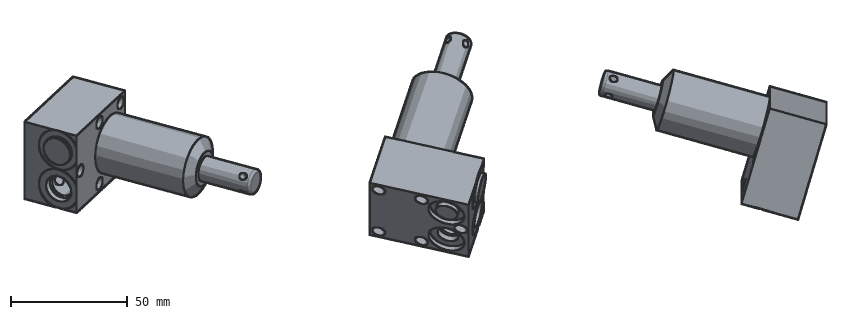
import cadquery as cq
import math

overall_length = 96.0
block_length = 25.2
block_width = 43.9
block_height = 38.1
axis_to_back = 13.5
back_y = axis_to_back
front_y = back_y - block_width

body_diameter = 26.9
body_end_x = 68.0
nose_end_x = 71.1
nose_diameter = 15.7
rod_diameter = 11.2
rod_end_fillet = 1.15

dimple_diameter = 3.1
dimple_x = 92.0
dimple_count = 4
first_dimple_angle = 45

mounting_hole_diameter = 5.7
mounting_half_pitch_y = 9.5
mounting_half_pitch_z = 15.1
front_mounting_y = front_y + 3.5

port_half_pitch = 9.6
port_overlap = 1.0

side_port_y = front_y + 9.8
side_counterbore_diameter = 15.9
side_counterbore_depth = 2.4
side_plug_diameter = 9.7
side_port_diameter = 9.1
side_port_inner_diameter = 8.4
side_port_depth = 2.7
side_bore_diameter = 7.4

front_port_x = 16.5
front_spotface_diameter = 19.0
front_spotface_depth = 0.2
front_plug_diameter = 12.9
front_plug_projection = 1.4
front_port_diameter = 12.3
front_port_inner_diameter = 11.4
front_port_depth = 3.0
front_bore_diameter = 10.0
front_bore_depth = 14.9


def cylinder(start, direction, diameter, length):
    """Cylinder growing from a start point along a direction."""
    return cq.Workplane(cq.Solid.makeCylinder(diameter / 2, length, cq.Vector(*start), cq.Vector(*direction)))


def stepped_bore(start, direction, mouth_diameter, inner_diameter, mouth_depth, bore_diameter, bore_depth):
    """Tapered mouth, 45 degree shoulder and narrower flat-bottomed bore."""
    mouth = mouth_diameter / 2
    inner = inner_diameter / 2
    bore = bore_diameter / 2
    profile_normal = cq.Vector(0, 0, 1).cross(cq.Vector(*direction))
    profile = (
        cq.Workplane(cq.Plane(start, xDir=(0, 0, 1), normal=profile_normal))
        .polyline([
            (0, 0),
            (mouth, 0),
            (inner, mouth_depth),
            (bore, mouth_depth + inner - bore),
            (bore, bore_depth),
            (0, bore_depth),
        ])
        .close()
    )
    return profile.revolve(360, (0, 0, 0), (0, 1, 0))


def make_block():
    """Rectangular valve block with its five mounting holes."""
    block = cq.Workplane("XY").box(block_length, block_width, block_height, centered=(False, False, True))
    block = block.translate((0, front_y, 0))
    hole_places = [(front_mounting_y, 0)]
    for side_y in (-1, 1):
        for side_z in (-1, 1):
            hole_places.append((side_y * mounting_half_pitch_y, side_z * mounting_half_pitch_z))
    for y, z in hole_places:
        block = block.cut(cylinder((0, y, z), (1, 0, 0), mounting_hole_diameter, block_length))
    return block


def make_body_and_rod():
    """Round body with a conical nose, and the rod with its ring of dimples."""
    body = (
        cq.Workplane("XY")
        .polyline([
            (block_length, 0),
            (block_length, body_diameter / 2),
            (body_end_x, body_diameter / 2),
            (nose_end_x, nose_diameter / 2),
            (nose_end_x, 0),
        ])
        .close()
        .revolve(360, (0, 0, 0), (1, 0, 0))
    )
    rod = cylinder((body_end_x, 0, 0), (1, 0, 0), rod_diameter, overall_length - body_end_x)
    rod = rod.faces(">X").edges().fillet(rod_end_fillet)
    cone_height = dimple_diameter
    surface_chord_height = math.sqrt((rod_diameter / 2) ** 2 - (dimple_diameter / 2) ** 2)
    cone_tip_height = surface_chord_height - dimple_diameter / 2
    for index in range(dimple_count):
        cone = cq.Solid.makeCone(0, cone_height, cone_height, cq.Vector(dimple_x, 0, cone_tip_height))
        angle = first_dimple_angle + index * 360 / dimple_count
        rod = rod.cut(cq.Workplane(cone).rotate((0, 0, 0), (1, 0, 0), angle))
    return body.union(rod)


def cut_recesses(block):
    """Counterbores on the -X face and shallow spotfaces on the -Y face."""
    for z in (-port_half_pitch, port_half_pitch):
        block = block.cut(
            cylinder((0, side_port_y, z), (1, 0, 0), side_counterbore_diameter, side_counterbore_depth)
        )
        block = block.cut(
            cylinder((front_port_x, front_y, z), (0, 1, 0), front_spotface_diameter, front_spotface_depth)
        )
    return block


def add_plugs(block):
    """Round plugs closing the upper ports; the side plug is flush with the block."""
    side_plug = cylinder(
        (0, side_port_y, port_half_pitch), (1, 0, 0), side_plug_diameter, side_counterbore_depth + port_overlap
    )
    front_plug = cylinder(
        (front_port_x, front_y - front_plug_projection, port_half_pitch),
        (0, 1, 0),
        front_plug_diameter,
        front_plug_projection + front_spotface_depth + port_overlap,
    )
    return block.union(side_plug).union(front_plug)


def cut_open_ports(block):
    """Lower ports: the side bore runs into the front bore."""
    side_port = stepped_bore(
        (side_counterbore_depth, side_port_y, -port_half_pitch),
        (1, 0, 0),
        side_port_diameter,
        side_port_inner_diameter,
        side_port_depth,
        side_bore_diameter,
        front_port_x - side_counterbore_depth,
    )
    front_port = stepped_bore(
        (front_port_x, front_y, -port_half_pitch),
        (0, 1, 0),
        front_port_diameter,
        front_port_inner_diameter,
        front_port_depth,
        front_bore_diameter,
        front_bore_depth,
    )
    return block.cut(side_port).cut(front_port)


block = cut_open_ports(add_plugs(cut_recesses(make_block())))
result = block.union(make_body_and_rod())